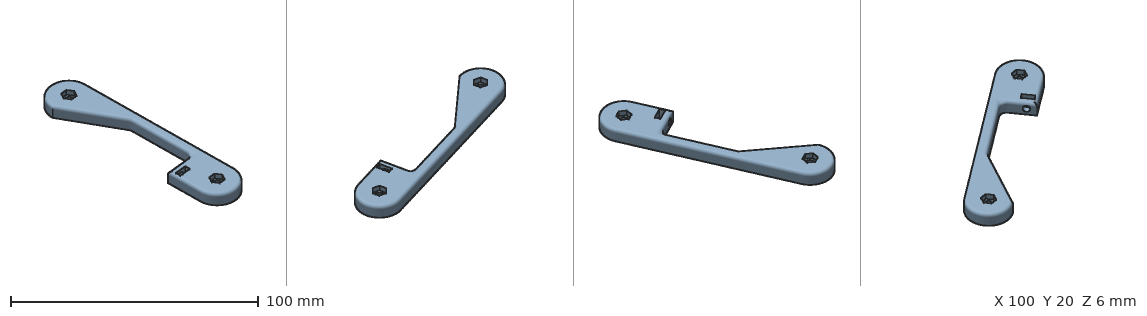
import cadquery as cq

length = 100.0
width = 20.0
thickness = 6.0
end_radius = width / 2
end_x = length / 2 - end_radius

bar_width = 5.0
bar_front_y = width / 2 - bar_width
slope_end_x = -11.0
block_left_x = 22.3
corner_radius = 3.0
top_edge_radius = 1.5

screw_diameter = 3.4
nut_across_flats = 5.5
nut_sides = 6
nut_depth = 2.5

slot_left_x = block_left_x + 3.0
slot_length_x = 2.5
slot_back_y = -2.8
slot_front_y = -8.5
slot_width_y = slot_back_y - slot_front_y
slot_center_y = (slot_back_y + slot_front_y) / 2
cross_hole_diameter = 3.0
cross_hole_z = thickness / 2


def make_body():
    """Plate with two round ends, a sloped left arm and a square-cornered right block."""
    plate = (
        cq.Workplane("XY")
        .moveTo(-end_x, end_radius)
        .lineTo(end_x, end_radius)
        .threePointArc((length / 2, 0), (end_x, -end_radius))
        .lineTo(block_left_x, -end_radius)
        .lineTo(block_left_x, bar_front_y)
        .lineTo(slope_end_x, bar_front_y)
        .lineTo(-end_x, -end_radius)
        .threePointArc((-length / 2, 0), (-end_x, end_radius))
        .close()
        .extrude(thickness)
    )
    inner_corners = cq.selectors.BoxSelector(
        (slope_end_x - corner_radius, bar_front_y - corner_radius, 0),
        (block_left_x + corner_radius, bar_front_y + corner_radius, thickness),
    )
    plate = plate.faces(">Z").edges().fillet(top_edge_radius)
    return plate.edges("|Z").edges(inner_corners).fillet(corner_radius)


def cut_screw_holes(body):
    """Through holes at both end centres, each with a nut pocket in the top face."""
    centers = [(-end_x, 0), (end_x, 0)]
    holes = cq.Workplane("XY").pushPoints(centers).circle(screw_diameter / 2).extrude(thickness)
    body = body.cut(holes)
    for center_x, center_y in centers:
        pocket = (
            cq.Workplane("XY")
            .polygon(nut_sides, nut_across_flats, circumscribed=True)
            .extrude(nut_depth)
            .translate((center_x, center_y, thickness - nut_depth))
        )
        body = body.cut(pocket)
    return body


def cut_slot_and_cross_hole(body):
    """Through slot in the right block and the round hole along X that opens into it."""
    slot = (
        cq.Workplane("XY")
        .center(slot_left_x + slot_length_x / 2, slot_center_y)
        .rect(slot_length_x, slot_width_y)
        .extrude(thickness)
    )
    cross_hole = (
        cq.Workplane("YZ", origin=(block_left_x, slot_center_y, cross_hole_z))
        .circle(cross_hole_diameter / 2)
        .extrude(slot_left_x + slot_length_x / 2 - block_left_x)
    )
    return body.cut(slot).cut(cross_hole)


result = cut_slot_and_cross_hole(cut_screw_holes(make_body()))